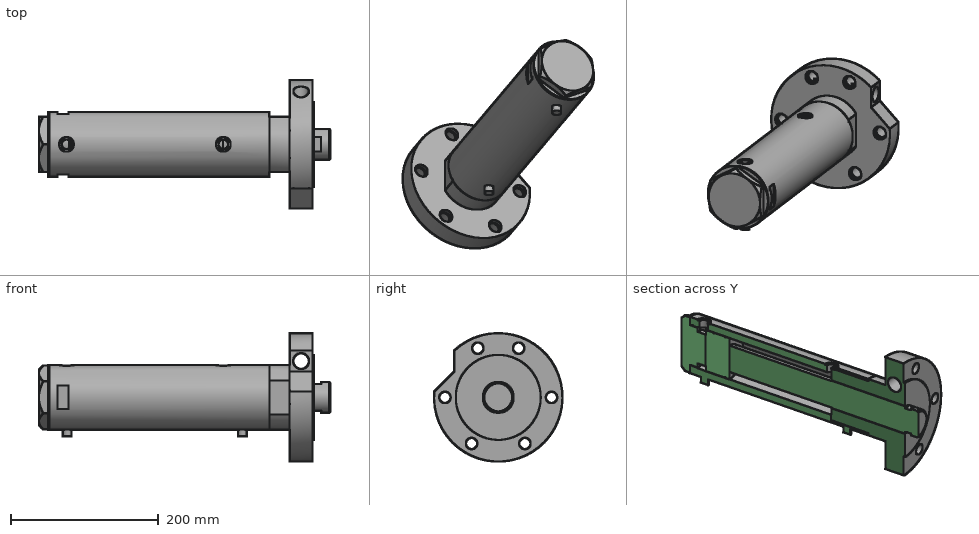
import cadquery as cq
import math


TOTAL_LENGTH = 394.3
COLLAR_START = 12.3
TUBE_START = 14.5
TUBE_END = 311.4
FLANGE_START = 338.9
FLANGE_END = 369.9
SPIGOT_END = 372.0
CAP_NOSE_END = 40.6
GLAND_NOSE_START = 248.9

TUBE_DIAMETER = 88.0
TUBE_RADIUS = TUBE_DIAMETER / 2
BORE_DIAMETER = 63.0
GLAND_SEAT_DIAMETER = 80.0
WRENCH_FLAT_START = 25.2
WRENCH_FLAT_END = 39.9
WRENCH_FLAT_ACROSS = 82.0
PORT_POSITIONS = (37.3, 249.3)
PORT_DIAMETER = 13.0
PORT_FACE_DIAMETER = 19.8
PORT_FACE_HEIGHT = 42.8
STUD_POSITIONS = (38.2, 275.0)
STUD_DIAMETER = 12.2
STUD_TIP_DEPTH = 52.7

HEX_ACROSS_FLATS = 75.0
HEX_SIDES = 6
HEX_ACROSS_CORNERS = HEX_ACROSS_FLATS / math.cos(math.pi / HEX_SIDES)
HEX_TURNED_DIAMETER = 86.3
HEX_CHAMFER = (HEX_TURNED_DIAMETER - HEX_ACROSS_FLATS) / 2
CAP_NOSE_DIAMETER = 50.0
CAP_PLUG_END = 27.0

NECK_ACROSS_FLATS = 75.0
FLANGE_DIAMETER = 174.0
FLANGE_RADIUS = FLANGE_DIAMETER / 2
SPIGOT_DIAMETER = 115.0
NOTCH_Y = -59.5
NOTCH_Z = 35.2
CROSS_HOLE_DIAMETER = 21.0
CROSS_HOLE_Z = 49.0
BOLT_CIRCLE_RADIUS = 72.0
BOLT_ANGLES = (0, 67.5, 112.5, 180, 240, 300)
BOLT_HOLE_DIAMETER = 15.0
BOLT_SINK_DIAMETER = 18.0
BOLT_SINK_DEPTH = 6.5

ROD_DIAMETER = 41.8
ROD_FLAT_END = 381.5
ROD_ACROSS_FLATS = 36.8
ROD_CHAMFER = 2.0
PISTON_LENGTH = 40.0
PISTON_END = CAP_NOSE_END + PISTON_LENGTH


def cylinder(diameter, start, end):
    """Round bar about the X axis between two stations."""
    return cq.Workplane("YZ").workplane(offset=start).circle(diameter / 2).extrude(end - start)


def upright_cylinders(stations, diameter, bottom, top):
    """Vertical round bars centred over the axis, one at each station."""
    return (
        cq.Workplane("XY")
        .workplane(offset=bottom)
        .pushPoints([(x, 0) for x in stations])
        .circle(diameter / 2)
        .extrude(top - bottom)
    )


def between_flats(start, end, across, axis):
    """Block between two stations whose two sides facing along `axis` (Y or Z) are `across` apart."""
    length = end - start
    size = (across, FLANGE_DIAMETER) if axis == "Y" else (FLANGE_DIAMETER, across)
    return cq.Workplane("XY").box(length, *size).translate((start + length / 2, 0, 0))


def outside_flats(start, end, across, axis):
    """Material to cut from a round bar to leave two flats `across` apart between two stations."""
    return cylinder(FLANGE_DIAMETER, start, end).cut(between_flats(start, end, across, axis))


def make_cap():
    hexagon = (
        cq.Workplane("YZ")
        .polygon(HEX_SIDES, HEX_ACROSS_CORNERS)
        .extrude(COLLAR_START)
        .rotate((0, 0, 0), (1, 0, 0), 90)
    )
    turned = cylinder(HEX_TURNED_DIAMETER, 0, COLLAR_START).faces("<X").chamfer(HEX_CHAMFER)
    cap = hexagon.intersect(turned)
    cap = cap.union(cylinder(TUBE_DIAMETER, COLLAR_START, TUBE_START))
    cap = cap.union(cylinder(BORE_DIAMETER, TUBE_START, CAP_PLUG_END))
    return cap.union(cylinder(CAP_NOSE_DIAMETER, CAP_PLUG_END, CAP_NOSE_END))


def make_tube():
    tube = cylinder(TUBE_DIAMETER, TUBE_START, TUBE_END)
    tube = tube.cut(outside_flats(WRENCH_FLAT_START, WRENCH_FLAT_END, WRENCH_FLAT_ACROSS, "Y"))
    tube = tube.union(upright_cylinders(STUD_POSITIONS, STUD_DIAMETER, -STUD_TIP_DEPTH, 0))
    tube = tube.cut(cylinder(BORE_DIAMETER, TUBE_START, TUBE_END))
    tube = tube.cut(cylinder(GLAND_SEAT_DIAMETER, GLAND_NOSE_START, TUBE_END))
    tube = tube.cut(upright_cylinders(PORT_POSITIONS, PORT_DIAMETER, 0, TUBE_RADIUS))
    return tube.cut(
        upright_cylinders(PORT_POSITIONS, PORT_FACE_DIAMETER, PORT_FACE_HEIGHT, TUBE_RADIUS)
    )


def flange_notch():
    """Corner cut: an upright face from the rim down to NOTCH_Z, then a 45 degree face to the rim."""
    reach = FLANGE_DIAMETER
    return (
        cq.Workplane("YZ")
        .workplane(offset=FLANGE_START)
        .moveTo(NOTCH_Y, NOTCH_Z)
        .lineTo(NOTCH_Y, NOTCH_Z + reach)
        .lineTo(NOTCH_Y - reach, NOTCH_Z + reach)
        .lineTo(NOTCH_Y - reach, NOTCH_Z - reach)
        .close()
        .extrude(FLANGE_END - FLANGE_START)
    )


def make_gland():
    flange = cylinder(FLANGE_DIAMETER, FLANGE_START, FLANGE_END).cut(flange_notch())
    cross_hole = (
        cq.Workplane("XZ")
        .center((FLANGE_START + FLANGE_END) / 2, CROSS_HOLE_Z)
        .circle(CROSS_HOLE_DIAMETER / 2)
        .extrude(FLANGE_RADIUS, both=True)
    )
    flange = flange.cut(cross_hole)
    hole = cylinder(BOLT_HOLE_DIAMETER, FLANGE_START, FLANGE_END)
    hole = hole.union(cylinder(BOLT_SINK_DIAMETER, FLANGE_START, FLANGE_START + BOLT_SINK_DEPTH))
    for angle in BOLT_ANGLES:
        y = BOLT_CIRCLE_RADIUS * math.cos(math.radians(angle))
        z = BOLT_CIRCLE_RADIUS * math.sin(math.radians(angle))
        flange = flange.cut(hole.translate((0, y, z)))
    neck = cylinder(TUBE_DIAMETER, TUBE_END, FLANGE_START)
    neck = neck.intersect(between_flats(TUBE_END, FLANGE_START, NECK_ACROSS_FLATS, "Y"))
    gland = flange.union(neck)
    gland = gland.union(cylinder(GLAND_SEAT_DIAMETER, GLAND_NOSE_START, TUBE_END))
    gland = gland.union(cylinder(SPIGOT_DIAMETER, FLANGE_END, SPIGOT_END))
    return gland.cut(cylinder(ROD_DIAMETER, GLAND_NOSE_START, SPIGOT_END))


def make_piston():
    return cylinder(BORE_DIAMETER, CAP_NOSE_END, PISTON_END)


def make_rod():
    rod = cylinder(ROD_DIAMETER, PISTON_END, TOTAL_LENGTH).faces(">X").chamfer(ROD_CHAMFER)
    return rod.cut(outside_flats(SPIGOT_END, ROD_FLAT_END, ROD_ACROSS_FLATS, "Z"))


cap = make_cap()
tube = make_tube()
gland = make_gland()
piston = make_piston()
rod = make_rod()

result = cq.Compound.makeCompound([cap.val(), tube.val(), gland.val(), piston.val(), rod.val()])